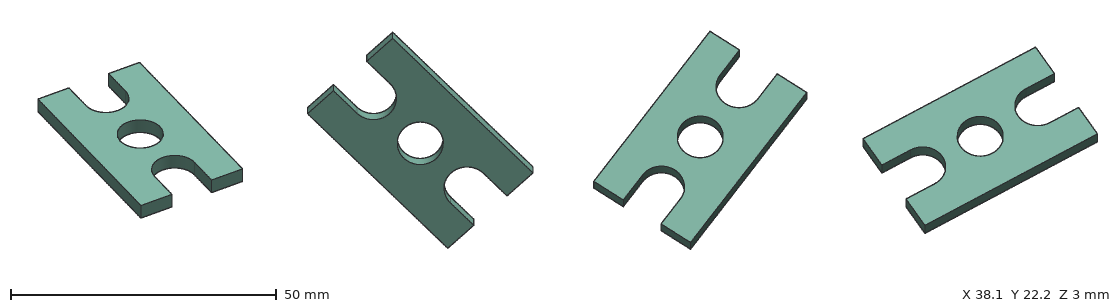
import cadquery as cq

length = 38.1
width = 22.2
thickness = 3.0

hole_diameter = 8.65
slot_depth = 10.65

slot_radius = hole_diameter / 2
slot_center_x = length / 2 - slot_depth + slot_radius


def end_slot(side):
    """Cutter for the round-bottomed slot open at the end on the given side of X (+1 or -1)."""
    center_x = side * slot_center_x
    straight_length = slot_depth
    straight = (
        cq.Workplane("XY")
        .center(center_x + side * straight_length / 2, 0)
        .rect(straight_length, hole_diameter)
        .extrude(thickness)
    )
    round_bottom = cq.Workplane("XY").center(center_x, 0).circle(slot_radius).extrude(thickness)
    return straight.union(round_bottom)


plate = cq.Workplane("XY").box(length, width, thickness, centered=(True, True, False))
plate = plate.faces(">Z").workplane().hole(hole_diameter)

for side in (-1, 1):
    plate = plate.cut(end_slot(side))

result = plate